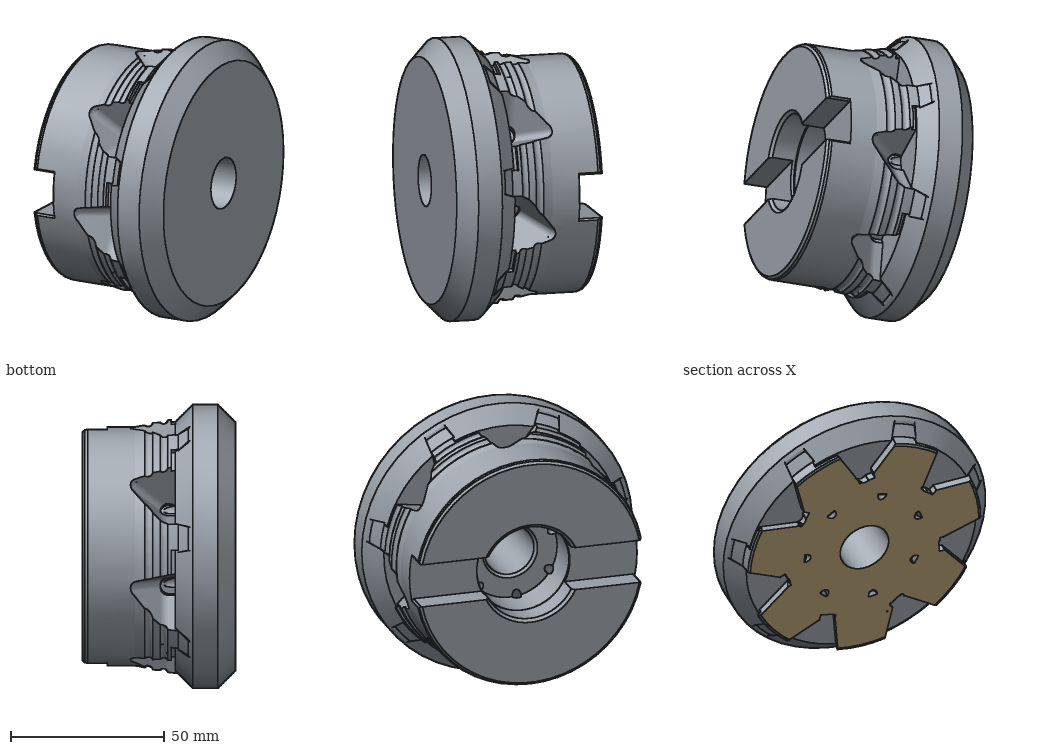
import cadquery as cq
import math

length = 50.0
pocket_count = 7
pocket_pitch = 360 / pocket_count

hub_radius = 78.0 / 2
hub_chamfer = 0.8
hub_lead_in_drop = 0.3
hub_lead_in_length = 0.8
hub_end = 17.2

flange_radius = 46.4
flange_start = 30.3
rim_start = 36.1
rim_end = 44.15

bore_radius = 31.9 / 2
bore_chamfer = 1.0
bore_step_depth = 9.1
bore_step_length = 0.5
relief_radius = 32.3 / 2
bore_depth = 22.3
hole_radius = 17.0 / 2
hole_chamfer = 0.9

slot_width = 14.7
slot_depth = 8.1
slot_corner_chamfer = 0.7

pocket_bend_x = 26.5
pocket_ledge_z = 16.0
pocket_start_x = 15.7
pocket_end_radius = 2.4
pocket_ramp_angle = 43.0
pocket_bend_radius = 3.7
pocket_fillet = 2.2
pocket_top_z = 55.65
pocket_reach = 55.65
floor_y = -25.2
floor_z = 31.6
floor_angle = 21.6
floor_tilt = 0.18

pit_radius = 2.8
pit_x = 28.2
pit_y = -22.1
pit_z = 16.4
pit_angle = 48.0
pit_length = 5.6

seat_start = 31.3
seat_end = 35.0
seat_depth = 0.4
seat_wall = 0.5
seat_foot_z = 7.3
seat_tip_z = 8.7
recess_start = 28.9
recess_radius = 39.7
recess_low_z = -0.9
recess_high_z = 7.8

coolant_diameter = 3.0
coolant_length = 7.4
coolant_overrun = 1.9
coolant_angle = 21.0
coolant_start_radius = 15.95


def revolve_about_x(outline):
    return outline.close().revolve(360, (0, 0, 0), (1, 0, 0))


def around_axis(tool):
    """Copies of a tool at every pocket position, as one compound."""
    copies = [tool.rotate((0, 0, 0), (1, 0, 0), i * pocket_pitch).val() for i in range(pocket_count)]
    return cq.Workplane(cq.Compound.makeCompound(copies))


def cone_radius(x):
    """Radius of the 45 degree cone on the hub side of the flange."""
    return flange_radius - (rim_start - x)


def make_hub():
    """Hub with a grooved neck that widens towards the flange."""
    return revolve_about_x(
        cq.Workplane("XY")
        .moveTo(0, 0)
        .lineTo(0, hub_radius - hub_lead_in_drop - hub_chamfer)
        .lineTo(hub_chamfer, hub_radius - hub_lead_in_drop)
        .lineTo(hub_chamfer + hub_lead_in_length, hub_radius)
        .lineTo(hub_end, hub_radius)
        .lineTo(18.9, 39.3)
        .lineTo(20.3, 39.6)
        .threePointArc((21.4, 39.1), (23.0, 40.3))
        .lineTo(25.4, 40.4)
        .threePointArc((26.5, 40.0), (27.8, 41.2))
        .lineTo(seat_start, cone_radius(seat_start))
        .lineTo(seat_start, 0)
    )


def make_flange():
    return revolve_about_x(
        cq.Workplane("XY")
        .moveTo(flange_start, 0)
        .lineTo(flange_start, cone_radius(flange_start))
        .lineTo(rim_start, flange_radius)
        .lineTo(rim_end, flange_radius)
        .lineTo(length, flange_radius - (length - rim_end))
        .lineTo(length, 0)
    )


def make_pocket():
    """Chip pocket: a bent ledge meeting a sloping floor in a rounded corner."""
    ramp_rise = (pocket_bend_x - pocket_start_x) * math.tan(math.radians(pocket_ramp_angle))
    ramp_top_z = pocket_ledge_z + ramp_rise
    prism = (
        cq.Workplane("XZ")
        .moveTo(seat_start, pocket_ledge_z)
        .lineTo(pocket_bend_x, pocket_ledge_z)
        .lineTo(pocket_start_x, ramp_top_z)
        .lineTo(pocket_start_x, pocket_top_z)
        .lineTo(seat_start, pocket_top_z)
        .close()
        .extrude(pocket_reach)
        .edges(cq.selectors.NearestToPointSelector((pocket_bend_x, -pocket_reach / 2, pocket_ledge_z)))
        .fillet(pocket_bend_radius)
        .edges(cq.selectors.NearestToPointSelector((pocket_start_x, -pocket_reach / 2, ramp_top_z)))
        .fillet(pocket_end_radius)
    )
    slope = math.radians(floor_angle)
    floor_normal = cq.Vector(floor_tilt, -math.cos(slope), -math.sin(slope))
    floor_plane = cq.Plane((flange_start, floor_y, floor_z), (1, 0, floor_tilt / math.sin(slope)), floor_normal)
    above_floor = cq.Workplane(floor_plane).rect(4 * pocket_reach, 4 * pocket_reach).extrude(2 * pocket_reach)
    pocket = prism.intersect(above_floor)
    ledge_depth = floor_y + (pocket_ledge_z - floor_z) * -math.tan(slope)
    corner = (seat_start - 0.9, ledge_depth, pocket_ledge_z)
    return pocket.edges(cq.selectors.NearestToPointSelector(corner)).fillet(pocket_fillet)


def make_corner_pit():
    """Round-ended pit at the inner corner of the pocket, running up to the flange."""
    lean = math.radians(pit_angle)
    outward = (0, -math.cos(lean), math.sin(lean))
    pit_plane = cq.Plane((pit_x, pit_y, pit_z), (1, 0, 0), outward)
    run_length = seat_start - pit_x
    end = cq.Workplane(pit_plane).circle(pit_radius).extrude(pit_length)
    run = cq.Workplane(pit_plane).center(run_length / 2, 0).rect(run_length, 2 * pit_radius).extrude(pit_length)
    return end.union(run)


def make_recess():
    """Step behind an insert seat, cut down to a flat in front of the flange."""
    middle = math.degrees(math.asin((recess_low_z + recess_high_z) / 2 / recess_radius))
    width = recess_high_z - recess_low_z
    step = cq.Workplane("XY").box(
        seat_start - recess_start, pocket_reach - recess_radius, width, centered=(False, False, True)
    )
    step = step.translate((recess_start, -pocket_reach, 0))
    return step.rotate((0, 0, 0), (1, 0, 0), -middle)


def make_seat():
    """Shallow four-sided insert seat sunk into the cone of the flange."""
    outline = (
        cq.Workplane("XZ")
        .moveTo(seat_start, pocket_ledge_z)
        .lineTo(seat_end, pocket_ledge_z)
        .lineTo(seat_end, seat_tip_z)
        .lineTo(seat_start, seat_foot_z)
        .close()
        .extrude(pocket_reach)
    )
    floor_end = seat_end - seat_wall
    ring = revolve_about_x(
        cq.Workplane("XY")
        .moveTo(seat_start, cone_radius(seat_start))
        .lineTo(floor_end, cone_radius(floor_end) - seat_depth)
        .lineTo(seat_end, cone_radius(seat_end))
        .lineTo(seat_end, pocket_reach)
        .lineTo(seat_start, pocket_reach)
    )
    return outline.intersect(ring)


def make_bore():
    """Stepped bore with chamfered mouths."""
    return revolve_about_x(
        cq.Workplane("XY")
        .moveTo(0, 0)
        .lineTo(0, bore_radius + bore_chamfer)
        .lineTo(bore_chamfer, bore_radius)
        .lineTo(bore_step_depth, bore_radius)
        .lineTo(bore_step_depth + bore_step_length, relief_radius)
        .lineTo(bore_depth, relief_radius)
        .lineTo(bore_depth, hole_radius + hole_chamfer)
        .lineTo(bore_depth + hole_chamfer, hole_radius)
        .lineTo(length, hole_radius)
        .lineTo(length, 0)
    )


def make_slot():
    """Driving slot along Y that flares at both mouths to bevel its corners."""
    slot = cq.Workplane("XY").box(slot_depth, 3 * hub_radius, slot_width, centered=(False, True, True))
    half_width = slot_width / 2
    mouth_y = math.sqrt(hub_radius**2 - half_width**2)
    flare = slot_corner_chamfer
    for side in (1, -1):
        mouth = (
            cq.Workplane("YZ")
            .moveTo(side * (mouth_y - flare), half_width)
            .lineTo(side * (mouth_y + flare), half_width + 2 * flare)
            .lineTo(side * (mouth_y + flare), -half_width - 2 * flare)
            .lineTo(side * (mouth_y - flare), -half_width)
            .close()
            .extrude(slot_depth)
        )
        slot = slot.union(mouth)
    return slot


def make_coolant_hole():
    """Blind hole leaning outwards from the rim of the bore floor."""
    turn = math.radians(coolant_angle)
    outward = cq.Vector(0, -math.cos(turn), math.sin(turn))
    lean = (outward + cq.Vector(1, 0, 0)).normalized()
    mouth = outward * coolant_start_radius + cq.Vector(bore_depth, 0, 0)
    start = mouth - lean * coolant_overrun
    hole = cq.Solid.makeCylinder(coolant_diameter / 2, coolant_length + coolant_overrun, start, lean)
    return cq.Workplane(hole)


hub = make_hub().cut(around_axis(make_pocket())).cut(around_axis(make_corner_pit())).cut(around_axis(make_recess()))
body = hub.union(make_flange()).cut(around_axis(make_seat()))
result = body.cut(make_bore()).cut(make_slot()).cut(around_axis(make_coolant_hole()))